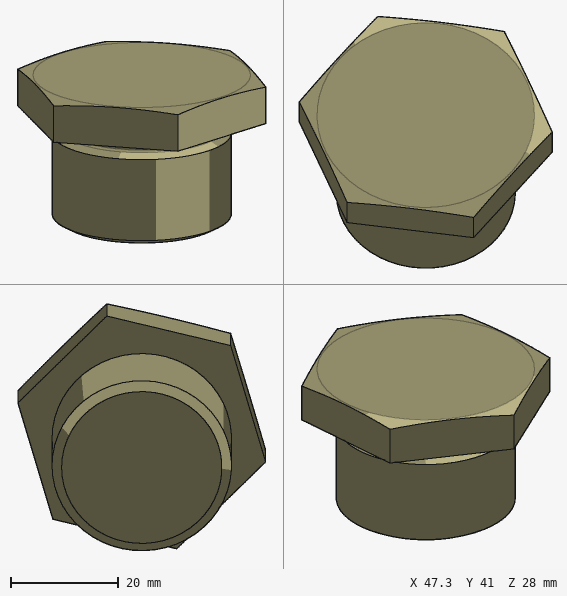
import cadquery as cq
import math

across_flats = 41.0
across_corners = across_flats / math.cos(math.radians(30))
total_height = 28.0
head_height = 7.7
head_face_diameter = 40.3
head_chamfer_angle = 10.0

shank_diameter = 33.25
neck_diameter = 29.7
shank_chamfer_angle = 30.0
neck_fillet_radius = 0.5
undercut_height = 3.55

shank_radius = shank_diameter / 2
neck_radius = neck_diameter / 2
chamfer_height = (shank_radius - neck_radius) * math.tan(math.radians(shank_chamfer_angle))

head_bottom = total_height - head_height
shank_top = head_bottom - undercut_height
neck_bottom = shank_top + chamfer_height


def revolve_about_z(profile):
    """Turn a closed XZ profile fully around the Z axis."""
    return profile.revolve(360, (0, 0, 0), (0, 1, 0))


def make_head():
    """Hexagon with corners on the X axis, its top corners cut by a shallow cone."""
    hexagon = (
        cq.Workplane("XY")
        .workplane(offset=head_bottom)
        .polygon(6, across_corners)
        .extrude(head_height)
    )
    face_radius = head_face_diameter / 2
    envelope_radius = across_corners
    rim_drop = (envelope_radius - face_radius) * math.tan(math.radians(head_chamfer_angle))
    envelope = revolve_about_z(
        cq.Workplane("XZ")
        .moveTo(0, head_bottom)
        .lineTo(envelope_radius, head_bottom)
        .lineTo(envelope_radius, total_height - rim_drop)
        .lineTo(face_radius, total_height)
        .lineTo(0, total_height)
        .close()
    )
    return hexagon.intersect(envelope)


def make_shank():
    """Shank with a chamfered tip and a neck that runs into it through a filleted cone."""
    shank = revolve_about_z(
        cq.Workplane("XZ")
        .lineTo(neck_radius, 0)
        .lineTo(shank_radius, chamfer_height)
        .lineTo(shank_radius, shank_top)
        .lineTo(neck_radius, neck_bottom)
        .lineTo(neck_radius, head_bottom)
        .lineTo(0, head_bottom)
        .close()
    )
    neck_root = cq.selectors.NearestToPointSelector((0, 0, neck_bottom))
    return shank.edges(neck_root).fillet(neck_fillet_radius)


result = make_head().union(make_shank())